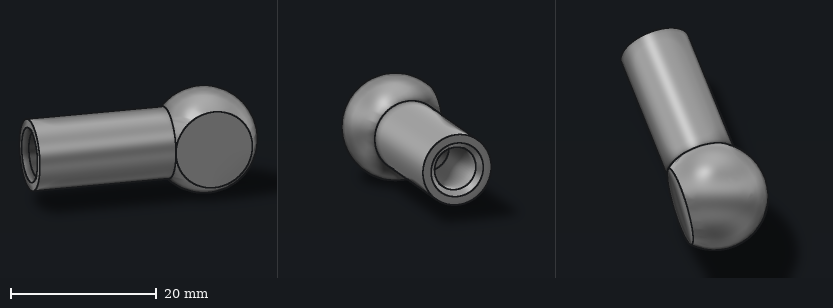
import cadquery as cq
import math

total_length = 32.35
ball_diameter = 14.8
stem_diameter = 10.0
bore_diameter = 6.0
bore_mouth_diameter = 7.6
bore_depth = 11.65
drill_point_angle = 118.0

ball_radius = ball_diameter / 2
stem_radius = stem_diameter / 2
bore_radius = bore_diameter / 2
bore_mouth_radius = bore_mouth_diameter / 2

stem_end_y = ball_radius - total_length
flat_x = stem_radius
mouth_depth = bore_mouth_radius - bore_radius
drill_point_height = bore_radius / math.tan(math.radians(drill_point_angle / 2))


def make_ball():
    """Sphere cut off by a flat on its +X side."""
    ball = cq.Workplane("XY").sphere(ball_radius)
    kept_length = ball_radius + flat_x
    kept_space = cq.Workplane("XY").box(kept_length, ball_diameter, ball_diameter)
    kept_space = kept_space.translate((flat_x - kept_length / 2, 0, 0))
    return ball.intersect(kept_space)


def make_stem():
    """Round stem from the ball centre to the open end."""
    return cq.Workplane("XZ").circle(stem_radius).extrude(-stem_end_y)


def make_bore():
    """Blind drilled hole with a countersunk mouth, revolved about the stem axis."""
    bore_bottom_y = stem_end_y + bore_depth
    half_section = (
        cq.Workplane("XY")
        .moveTo(0, stem_end_y)
        .lineTo(bore_mouth_radius, stem_end_y)
        .lineTo(bore_radius, stem_end_y + mouth_depth)
        .lineTo(bore_radius, bore_bottom_y)
        .lineTo(0, bore_bottom_y + drill_point_height)
        .close()
    )
    return half_section.revolve(360, (0, 0, 0), (0, 1, 0))


def make_housing():
    """Ball and stem in one piece, with the bore in the stem."""
    return make_ball().union(make_stem()).cut(make_bore()).solids()


housing = make_housing()

result = cq.Compound.makeCompound([housing.val()])